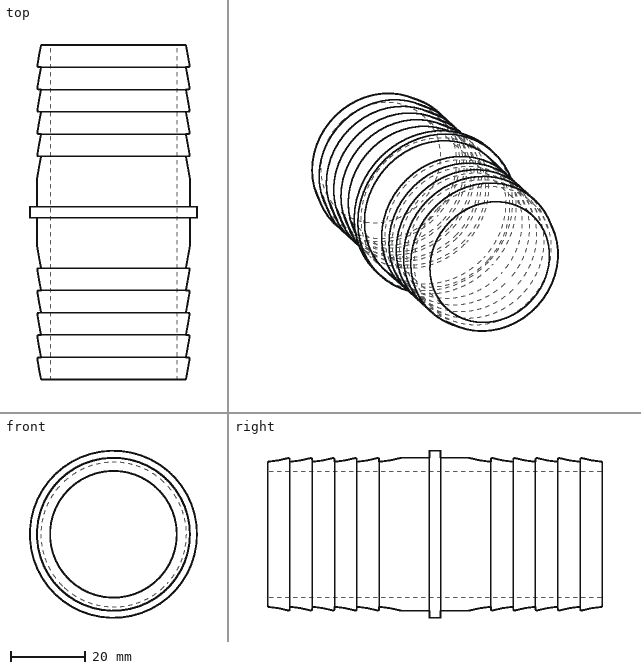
import cadquery as cq

length = 90.0
flange_diameter = 45.0
flange_width = 3.0
body_radius = 20.6
root_radius = 19.5
bore_radius = 17.0
body_length = 18.0
tapers_per_end = 6
edge_radius = 0.45

half_length = length / 2
taper_length = (length - body_length) / 2 / tapers_per_end


def ring(outer_radius, width):
    """Solid disc centred on the origin along Y."""
    return cq.Workplane("XZ", origin=(0, width / 2, 0)).circle(outer_radius).extrude(width)


def tapered_segment(tip_y):
    """Cone from the root radius at tip_y up to the crest radius nearer the body."""
    crest_y = tip_y - taper_length
    return (
        cq.Workplane("XY")
        .moveTo(0, crest_y)
        .lineTo(body_radius, crest_y)
        .lineTo(root_radius, tip_y)
        .lineTo(0, tip_y)
        .close()
        .revolve(360, (0, 0, 0), (0, 1, 0))
    )


def barbed_end():
    """Barbs on the +Y end, with every crest and the tube end rounded."""
    end = None
    for index in range(tapers_per_end):
        segment = tapered_segment(half_length - index * taper_length)
        if index < tapers_per_end - 1:
            segment = segment.faces("<Y").edges().fillet(edge_radius)
        if index == 0:
            segment = segment.faces(">Y").edges().fillet(edge_radius)
        end = segment if end is None else end.union(segment)
    return end


plus_end = barbed_end()
minus_end = plus_end.mirror("XZ")
body = ring(body_radius, body_length)
flange = ring(flange_diameter / 2, flange_width)
bore = ring(bore_radius, length)

result = body.union(plus_end).union(minus_end).union(flange).cut(bore)